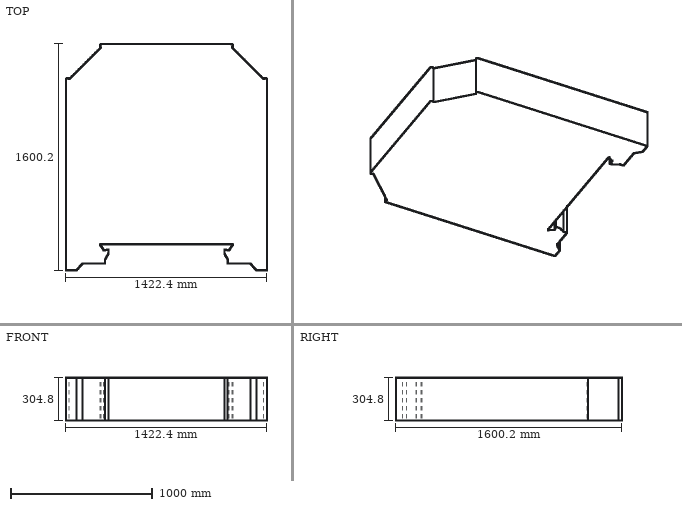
import cadquery as cq
import math

WIDTH = 1422.4
LENGTH = 1600.2
HEIGHT = 304.8

CORNER_CUT = 241.3
LIP_RADIUS = 12.7
SLOPE_OFFSET = 4.25

RECESS_DEPTH = 184.15
RECESS_SIDE = 241.3
RECESS_CORNER_RADIUS = 6.35
RECESS_CORNER_SWEEP = 75.0
GROOVE_RADIUS = 212.54 / 2
GROOVE_X = 267.5
GROOVE_Y = 141.5

NOSE_X = 302.0
NOSE_BACK_Y = 148.0
NOSE_FRONT_Y = 118.0
NOSE_SLOPE_ANGLE = 29.5
NOSE_RADIUS = 25.4

ARM_INNER_X = 278.2
STEP_DEPTH = 47.625
TIP_WIDTH = 75.4
STEP_X = 118.7


def arc_middle(start, end, radius):
    """Middle of the minor arc that bulges to the left of start -> end."""
    dx = end[0] - start[0]
    dy = end[1] - start[1]
    chord = math.hypot(dx, dy)
    bulge = radius - math.sqrt(radius**2 - (chord / 2) ** 2)
    middle_x = (start[0] + end[0]) / 2 - dy / chord * bulge
    middle_y = (start[1] + end[1]) / 2 + dx / chord * bulge
    return middle_x, middle_y


def on_circle(center, radius, degrees):
    """Point on a circle at the given angle from +X."""
    angle = math.radians(degrees)
    return center[0] + radius * math.cos(angle), center[1] + radius * math.sin(angle)


def left_half():
    """Left half of the slab, drawn from the outer left corner of the arm tip."""
    slope_angle = math.radians(NOSE_SLOPE_ANGLE)
    arm_inner_y = NOSE_FRONT_Y - (NOSE_X - ARM_INNER_X) / math.tan(slope_angle)

    tangent = NOSE_RADIUS * math.tan(slope_angle / 2)
    nose_center = (NOSE_X - NOSE_RADIUS, NOSE_FRONT_Y + tangent)
    nose_slope_end = on_circle(nose_center, NOSE_RADIUS, -NOSE_SLOPE_ANGLE)
    nose_middle = on_circle(nose_center, NOSE_RADIUS, -NOSE_SLOPE_ANGLE / 2)
    nose_flat_start = on_circle(nose_center, NOSE_RADIUS, 0)

    groove = (GROOVE_X, GROOVE_Y)
    corner_center = (RECESS_SIDE + RECESS_CORNER_RADIUS, RECESS_DEPTH - RECESS_CORNER_RADIUS)
    wall_start = on_circle(corner_center, RECESS_CORNER_RADIUS, 90 + RECESS_CORNER_SWEEP)
    corner_middle = on_circle(corner_center, RECESS_CORNER_RADIUS, 90 + RECESS_CORNER_SWEEP / 2)
    corner_end = on_circle(corner_center, RECESS_CORNER_RADIUS, 90)
    wall_middle = arc_middle(wall_start, groove, GROOVE_RADIUS)

    side_center = (LIP_RADIUS, LENGTH - CORNER_CUT - LIP_RADIUS)
    rear_center = (CORNER_CUT + LIP_RADIUS, LENGTH - LIP_RADIUS)
    reach = math.degrees(math.asin(SLOPE_OFFSET / LIP_RADIUS))
    side_lip_end = on_circle(side_center, LIP_RADIUS, 45 - reach)
    rear_lip_start = on_circle(rear_center, LIP_RADIUS, 225 + reach)

    return (
        cq.Workplane("XY")
        .moveTo(0, 0)
        .lineTo(TIP_WIDTH, 0)
        .lineTo(STEP_X, STEP_DEPTH)
        .lineTo(ARM_INNER_X, STEP_DEPTH)
        .lineTo(ARM_INNER_X, arm_inner_y)
        .lineTo(*nose_slope_end)
        .threePointArc(nose_middle, nose_flat_start)
        .lineTo(NOSE_X, NOSE_BACK_Y)
        .lineTo(*groove)
        .threePointArc(wall_middle, wall_start)
        .threePointArc(corner_middle, corner_end)
        .lineTo(WIDTH / 2, RECESS_DEPTH)
        .lineTo(WIDTH / 2, LENGTH)
        .lineTo(rear_center[0], LENGTH)
        .threePointArc(on_circle(rear_center, LIP_RADIUS, 180), rear_lip_start)
        .lineTo(*side_lip_end)
        .threePointArc(on_circle(side_center, LIP_RADIUS, 90), (0, side_center[1]))
        .close()
        .extrude(HEIGHT)
        .translate((-WIDTH / 2, -LENGTH / 2, 0))
    )


left = left_half()
result = left.union(left.mirror("YZ")).clean()